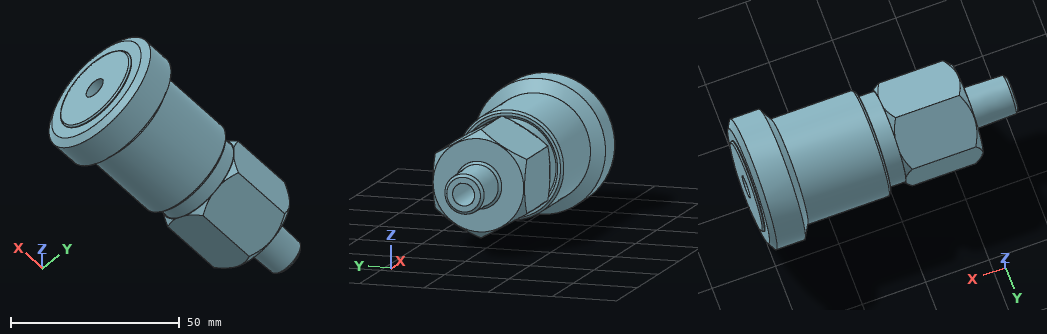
import cadquery as cq
import math

bore_diameter = 6.86

nozzle_length = 14.2
nozzle_tip_diameter = 12.2
nozzle_base_diameter = 12.85
nozzle_tip_chamfer = 0.85
nozzle_flare = 0.8

hex_across_flats = 28.575
hex_length = 24.5
hex_front_diameter = 28.2
hex_back_diameter = 29.0

barrel_diameter = 28.5
barrel_end_chamfer = 0.5
overall_length = 83.82

sleeve_diameter = 33.27
sleeve_start = 44.0
sleeve_end = 83.08
sleeve_chamfer = 0.75
collar_diameter = 41.15
collar_start = 70.4
collar_end_diameter = 36.1
collar_slope = math.tan(math.radians(30))

hex_end = nozzle_length + hex_length
hex_corner_diameter = hex_across_flats / math.cos(math.radians(30))
collar_front_length = (collar_diameter - sleeve_diameter) / 2 * collar_slope
collar_back_length = (collar_diameter - collar_end_diameter) / 2 * collar_slope


def revolve_about_x(profile):
    """Turn a closed (x, radius) outline a full circle about the X axis."""
    return cq.Workplane("XY").polyline(profile).close().revolve(360, (0, 0, 0), (1, 0, 0))


def cylinder_x(start, end, diameter):
    return cq.Workplane("YZ", origin=(start, 0, 0)).circle(diameter / 2).extrude(end - start)


def make_nozzle():
    tip_radius = nozzle_tip_diameter / 2
    base_radius = nozzle_base_diameter / 2
    return revolve_about_x([
        (0, 0),
        (0, tip_radius - nozzle_tip_chamfer),
        (nozzle_tip_chamfer, tip_radius),
        (nozzle_length - nozzle_flare, base_radius),
        (nozzle_length, base_radius + nozzle_flare),
        (nozzle_length, 0),
    ])


def make_hexagon():
    """Hexagonal prism whose corners are cut back by a 45 degree cone at each end."""
    prism = (
        cq.Workplane("YZ", origin=(nozzle_length, 0, 0))
        .transformed(rotate=(0, 0, 90))
        .polygon(6, hex_corner_diameter)
        .extrude(hex_length)
    )
    front_radius = hex_front_diameter / 2
    back_radius = hex_back_diameter / 2
    corner_radius = hex_corner_diameter / 2
    envelope = revolve_about_x([
        (nozzle_length, 0),
        (nozzle_length, front_radius),
        (nozzle_length + corner_radius - front_radius, corner_radius),
        (hex_end - corner_radius + back_radius, corner_radius),
        (hex_end, back_radius),
        (hex_end, 0),
    ])
    return prism.intersect(envelope)


def make_fitting():
    barrel = cylinder_x(hex_end, overall_length, barrel_diameter).faces(">X").chamfer(barrel_end_chamfer)
    bore = cylinder_x(0, overall_length, bore_diameter)
    return make_nozzle().union(make_hexagon()).union(barrel).cut(bore)


def make_sleeve():
    """Sleeve fitted on the barrel, with its mouth chamfered outside and inside."""
    sleeve_radius = sleeve_diameter / 2
    collar_radius = collar_diameter / 2
    barrel_radius = barrel_diameter / 2
    return revolve_about_x([
        (sleeve_start, barrel_radius + sleeve_chamfer),
        (sleeve_start, sleeve_radius - sleeve_chamfer),
        (sleeve_start + sleeve_chamfer, sleeve_radius),
        (collar_start, sleeve_radius),
        (collar_start + collar_front_length, collar_radius),
        (sleeve_end - collar_back_length, collar_radius),
        (sleeve_end, collar_end_diameter / 2),
        (sleeve_end, barrel_radius),
        (sleeve_start + sleeve_chamfer, barrel_radius),
    ])


fitting = make_fitting()
sleeve = make_sleeve()
result = cq.Compound.makeCompound([fitting.val(), sleeve.val()])